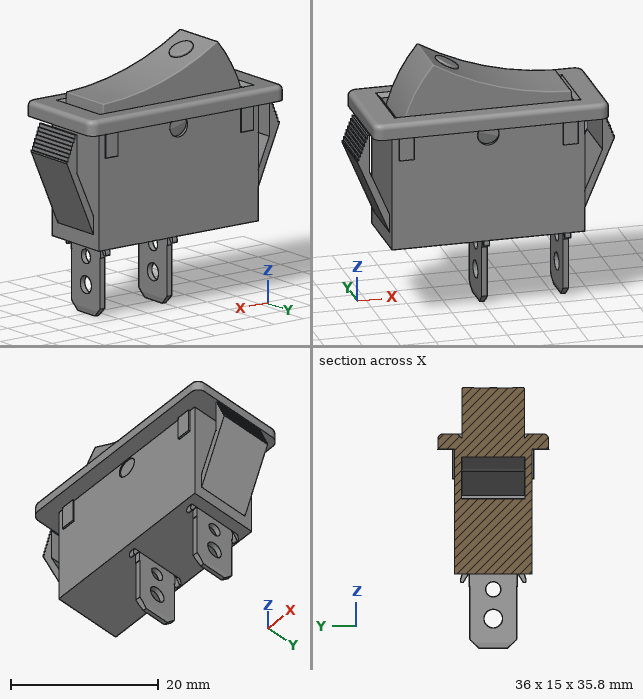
import cadquery as cq
import math


OVERALL_LENGTH = 36.0

BODY_LENGTH = 27.0
BODY_WIDTH = 10.5
BODY_HEIGHT = 16.9
FLANGE_LENGTH = 33.0
FLANGE_WIDTH = 15.0
FLANGE_THICKNESS = 2.1
FLANGE_CORNER_RADIUS = 1.3
FLANGE_EDGE_RADIUS = 0.7
OPENING_LENGTH = 26.1
OPENING_WIDTH = 9.7
OPENING_BEVEL = 0.58
POCKET_FLOOR_Z = -6.65

PAD_LENGTH = 2.1
PAD_HEIGHT = 4.0
PAD_RISE = 0.25
PAD_CENTER_X = 11.5

CLIP_WIDTH = 8.0
CLIP_TOP_Z = -0.45
CLIP_INNER_X = 16.3
CLIP_BEND_Z = -5.75
CLIP_ROOT_TOP_Z = -12.2
CLIP_ROOT_BOTTOM_Z = -14.8
CLIP_STEPS = 7
CLIP_STEP_HEIGHT = 0.5
CLIP_STEP_DEPTH = 0.198
CLIP_PEAK_LAND = 0.25

PIVOT_Z = -1.5
PIVOT_DIAMETER = 3.0
PIVOT_BEVEL_ANGLE = 15.0
PIVOT_RECESS = 0.18
ROCKER_TILT = 16.6
ROCKER_WIDTH = 8.5
ROCKER_HALF_LENGTH = 11.88
ROCKER_TIP_X = 10.08
ROCKER_TIP_Y = 7.92
ROCKER_MIDDLE_Y = 6.62
ROCKER_SHOULDER_Y = -0.65
ROCKER_BOTTOM_Y = -1.4
ROCKER_EDGE_RADIUS = 0.18

MARKER_DIAMETER = 3.45
MARKER_HEIGHT = 0.32
MARKER_EDGE_RADIUS = 0.15
MARKER_X = -6.8
MARKER_ROOT = 0.35

TERMINAL_POSITIONS = (0.0, 11.38)
TERMINAL_THICKNESS = 0.8
TERMINAL_WIDTH = 6.4
TERMINAL_SHOULDER_WIDTH = 6.55
TERMINAL_SHOULDER_Z = -18.55
TERMINAL_TIP_Z = -26.93
TERMINAL_TIP_WIDTH = 3.85
TERMINAL_TAPER_HEIGHT = 1.25
TERMINAL_BEVEL_HEIGHT = 0.75
TERMINAL_BEVEL_DEPTH = 0.1
TERMINAL_HOLES = ((2.0, -18.95), (2.5, -22.9))

BARB_ROOT_INNER_Y = 3.35
BARB_ROOT_OUTER_Y = 4.2
BARB_NOSE_INNER = (4.0, -17.93)
BARB_NOSE_TIP = (4.25, -18.05)
BARB_NOSE_OUTER = (4.43, -17.8)
BARB_FLANK = (4.43, -17.6)

BODY_BOTTOM_Z = -BODY_HEIGHT
ROCKER_CAVITY_WIDTH = OPENING_WIDTH - 2 * OPENING_BEVEL


def box(length, width, bottom_z, top_z):
    """Block centred on X and Y between two heights."""
    return cq.Workplane("XY").workplane(offset=bottom_z).rect(length, width).extrude(top_z - bottom_z)


def both_sides(solid, plane):
    """The solid together with its mirror image across a plane through the origin."""
    return solid.union(solid.mirror(plane))


def make_housing():
    """Hollow body and rounded flange with a bevelled opening for the rocker."""
    body = box(BODY_LENGTH, BODY_WIDTH, BODY_BOTTOM_Z, 0)
    flange = box(FLANGE_LENGTH, FLANGE_WIDTH, 0, FLANGE_THICKNESS)
    flange = flange.edges("|Z").fillet(FLANGE_CORNER_RADIUS)
    flange = flange.faces(">Z").edges().fillet(FLANGE_EDGE_RADIUS)
    bevel = (
        cq.Workplane("XY")
        .workplane(offset=FLANGE_THICKNESS)
        .rect(OPENING_LENGTH, OPENING_WIDTH)
        .extrude(-OPENING_BEVEL, taper=45)
    )
    cavity = box(
        OPENING_LENGTH - 2 * OPENING_BEVEL,
        ROCKER_CAVITY_WIDTH,
        POCKET_FLOOR_Z,
        FLANGE_THICKNESS - OPENING_BEVEL,
    )
    return body.union(flange).cut(bevel).cut(cavity)


def make_pads():
    """Four shallow pads under the flange, raised from the long faces."""
    width = BODY_WIDTH + 2 * PAD_RISE
    pad = box(PAD_LENGTH, width, -PAD_HEIGHT, 0).translate((PAD_CENTER_X, 0, 0))
    pads = both_sides(pad, "YZ")
    return pads.cut(box(BODY_LENGTH, ROCKER_CAVITY_WIDTH, -PAD_HEIGHT, 0))


def make_clips():
    """Two sprung clips with stepped upper faces."""
    peak_x = OVERALL_LENGTH / 2
    body_x = BODY_LENGTH / 2
    outline = [(CLIP_INNER_X, CLIP_TOP_Z)]
    for step in range(CLIP_STEPS + 1):
        x = peak_x - (CLIP_STEPS - step) * CLIP_STEP_DEPTH
        top_z = CLIP_TOP_Z - step * CLIP_STEP_HEIGHT
        height = CLIP_STEP_HEIGHT if step < CLIP_STEPS else CLIP_PEAK_LAND
        outline += [(x, top_z), (x, top_z - height)]
    outline += [
        (body_x, CLIP_ROOT_BOTTOM_Z),
        (body_x, CLIP_ROOT_TOP_Z),
        (CLIP_INNER_X, CLIP_BEND_Z),
    ]
    clip = cq.Workplane("XZ").polyline(outline).close().extrude(CLIP_WIDTH / 2, both=True)
    return both_sides(clip, "YZ")


def make_marker():
    """Raised disc standing square to the concave top of the rocker."""
    sag = ROCKER_TIP_Y - ROCKER_MIDDLE_Y
    top_radius = (ROCKER_TIP_X**2 + sag**2) / (2 * sag)
    slope = math.asin(MARKER_X / top_radius)
    surface_y = ROCKER_MIDDLE_Y + top_radius * (1 - math.cos(slope))
    plane = cq.Plane(
        origin=(MARKER_X, 0, surface_y),
        xDir=(0, 1, 0),
        normal=(-math.sin(slope), 0, math.cos(slope)),
    )
    disc = (
        cq.Workplane(plane)
        .workplane(offset=-MARKER_ROOT)
        .circle(MARKER_DIAMETER / 2)
        .extrude(MARKER_ROOT + MARKER_HEIGHT)
    )
    outer_rim = cq.selectors.DirectionMinMaxSelector(plane.zDir, True)
    return disc.edges(outer_rim).fillet(MARKER_EDGE_RADIUS)


def make_pivot_pin():
    """Pin ending just inside the housing faces; the lower half of each end is bevelled inwards."""
    radius = PIVOT_DIAMETER / 2
    half_length = BODY_WIDTH / 2 - PIVOT_RECESS
    pin = cq.Workplane("XZ").circle(radius).extrude(half_length, both=True)
    face_y = -half_length
    bevel_depth = radius * math.tan(math.radians(PIVOT_BEVEL_ANGLE))
    wedge = (
        cq.Workplane("YZ")
        .polyline([(face_y, 0), (face_y + bevel_depth, -radius), (face_y, -radius)])
        .close()
        .extrude(radius, both=True)
    )
    return pin.cut(both_sides(wedge, "XZ"))


def make_rocker():
    """Rocker built upright about its pivot at the origin, then tilted into place."""
    rise = ROCKER_TIP_Y - ROCKER_SHOULDER_Y
    inset = ROCKER_HALF_LENGTH - ROCKER_TIP_X
    end_radius = (rise**2 + inset**2) / (2 * inset)
    half_sweep = math.asin(rise / end_radius) / 2
    bulge_x = ROCKER_HALF_LENGTH - end_radius * (1 - math.cos(half_sweep))
    bulge_y = ROCKER_SHOULDER_Y + end_radius * math.sin(half_sweep)
    profile = (
        cq.Workplane("XZ")
        .moveTo(-ROCKER_HALF_LENGTH, ROCKER_BOTTOM_Y)
        .lineTo(-ROCKER_HALF_LENGTH, ROCKER_SHOULDER_Y)
        .threePointArc((-bulge_x, bulge_y), (-ROCKER_TIP_X, ROCKER_TIP_Y))
        .threePointArc((0, ROCKER_MIDDLE_Y), (ROCKER_TIP_X, ROCKER_TIP_Y))
        .threePointArc((bulge_x, bulge_y), (ROCKER_HALF_LENGTH, ROCKER_SHOULDER_Y))
        .lineTo(ROCKER_HALF_LENGTH, ROCKER_BOTTOM_Y)
        .close()
    )
    rocker = profile.extrude(ROCKER_WIDTH / 2, both=True)
    rocker = rocker.faces("not <Z").edges("not <Z").fillet(ROCKER_EDGE_RADIUS)
    rocker = rocker.union(make_marker()).union(make_pivot_pin())
    return rocker.rotate((0, 0, 0), (0, 1, 0), ROCKER_TILT).translate((0, 0, PIVOT_Z))


def make_terminal():
    """Blade terminal in the YZ plane with two holes, a tapered tip and two barbs beside its root."""
    half_width = TERMINAL_WIDTH / 2
    half_shoulder = TERMINAL_SHOULDER_WIDTH / 2
    half_tip = TERMINAL_TIP_WIDTH / 2
    half_thickness = TERMINAL_THICKNESS / 2
    taper_z = TERMINAL_TIP_Z + TERMINAL_TAPER_HEIGHT
    right_side = [
        (half_shoulder, BODY_BOTTOM_Z),
        (half_shoulder, TERMINAL_SHOULDER_Z),
        (half_width, TERMINAL_SHOULDER_Z),
        (half_width, taper_z),
        (half_tip, TERMINAL_TIP_Z),
    ]
    left_side = [(-y, z) for y, z in reversed(right_side)]
    blade = cq.Workplane("YZ").polyline(right_side + left_side).close().extrude(half_thickness, both=True)
    blade = blade.faces("<Z").edges("|Y").chamfer(TERMINAL_BEVEL_HEIGHT, TERMINAL_BEVEL_DEPTH)
    for diameter, z in TERMINAL_HOLES:
        hole = cq.Workplane("YZ").center(0, z).circle(diameter / 2)
        blade = blade.cut(hole.extrude(half_thickness, both=True))
    barb = (
        cq.Workplane("YZ")
        .moveTo(BARB_ROOT_INNER_Y, BODY_BOTTOM_Z)
        .lineTo(*BARB_NOSE_INNER)
        .threePointArc(BARB_NOSE_TIP, BARB_NOSE_OUTER)
        .lineTo(*BARB_FLANK)
        .lineTo(BARB_ROOT_OUTER_Y, BODY_BOTTOM_Z)
        .close()
        .extrude(half_thickness, both=True)
    )
    return blade.union(both_sides(barb, "XZ"))


housing = make_housing().union(make_pads()).union(make_clips())
pivot_bore = cq.Workplane("XZ").center(0, PIVOT_Z).circle(PIVOT_DIAMETER / 2)
housing = housing.cut(pivot_bore.extrude(BODY_WIDTH / 2, both=True))
result = housing.union(make_rocker())
for x in TERMINAL_POSITIONS:
    result = result.union(make_terminal().translate((x, 0, 0)))